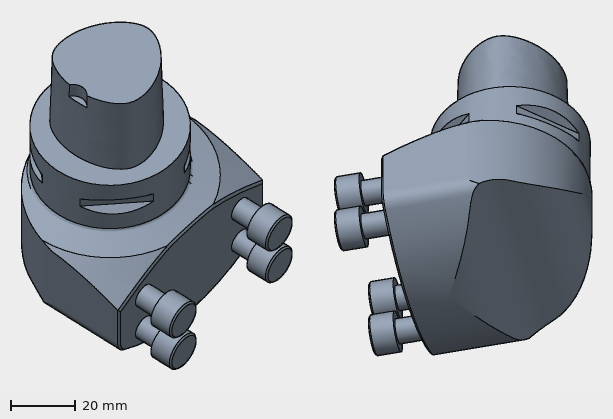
import cadquery as cq
import math


total_height = 93.25
shank_length = 29.9
shank_base_radius = 17.7
shank_top_radius = 17.0
lobe_height = 1.2
outline_points = 36
notch_radius = 4.3
notch_center_y = -18.0
notch_depth = 5.4

flange_radius = 50.0 / 2
flange_top = total_height - shank_length
flange_bottom = 43.0
groove_z = 53.15
groove_depth = 2.8
groove_floor_height = 3.4
groove_mouth_height = 6.7

body_width = 70.5
body_end_x = 33.0
plan_center_x = 10.3
plan_radius = 35.5
end_chamfer = 0.65
neck_step = 0.8
shoulder_radius = 34.3
shallow_angle = 15.0
steep_angle = 35.0
heel_radius = 17.9
s_curve_middle_x = 6.2
heel_z = 14.5
belly_radius = 60.6
belly_corner_radius = 6.0

screw_head_diameter = 13.0
screw_shank_diameter = 8.0
screw_head_start_x = 41.3
screw_end_x = 74.3 - flange_radius
screw_head_chamfer = 0.6
screw_y = 23.4
screw_heights = (12.8, 27.6)
screw_embed = 0.9


def lobed_point(mean_radius, angle):
    """Point of a constant-width three-lobed outline with one lobe on +Y."""
    reach = mean_radius - lobe_height * math.sin(3 * angle)
    slope = -3 * lobe_height * math.cos(3 * angle)
    return (
        reach * math.cos(angle) - slope * math.sin(angle),
        reach * math.sin(angle) + slope * math.cos(angle),
    )


def lobed_outline(mean_radius):
    return [lobed_point(mean_radius, 2 * math.pi * i / outline_points) for i in range(outline_points)]


def make_shank():
    shank = (
        cq.Workplane("XY", origin=(0, 0, flange_top))
        .spline(lobed_outline(shank_base_radius), periodic=True).close()
        .workplane(offset=shank_length)
        .spline(lobed_outline(shank_top_radius), periodic=True).close()
        .loft(ruled=True)
    )
    notch = (
        cq.Workplane("XY", origin=(0, notch_center_y, total_height - notch_depth))
        .circle(notch_radius)
        .extrude(notch_depth)
    )
    return shank.cut(notch)


def make_flange():
    flange = (
        cq.Workplane("XY", origin=(0, 0, flange_bottom))
        .circle(flange_radius)
        .extrude(flange_top - flange_bottom)
    )
    floor_x = flange_radius - groove_depth
    half_floor = groove_floor_height / 2
    half_mouth = groove_mouth_height / 2
    outer_x = flange_radius + groove_depth
    half_outer = 2 * half_mouth - half_floor
    groove = (
        cq.Workplane("XZ", origin=(0, 0, groove_z))
        .polyline([
            (floor_x, -half_floor),
            (outer_x, -half_outer),
            (outer_x, half_outer),
            (floor_x, half_floor),
        ])
        .close()
        .extrude(flange_radius, both=True)
    )
    for angle in (45, 135, 225, 315):
        flange = flange.cut(groove.rotate((0, 0, 0), (0, 0, 1), angle))
    return flange


def make_plan():
    """Body seen along Z: a disc trimmed flat at -X and at both sides, extended to +X."""
    disc = cq.Workplane("XY").center(plan_center_x, 0).circle(plan_radius).extrude(flange_bottom)
    block = cq.Workplane("XY").box(body_end_x - plan_center_x, body_width, flange_bottom, (False, True, False))
    trim = cq.Workplane("XY").box(flange_radius + body_end_x, body_width, flange_bottom, (False, True, False))
    return disc.union(block.translate((plan_center_x, 0, 0))).intersect(trim.translate((-flange_radius, 0, 0)))


def make_side_profile():
    """Body seen along Y: rounded heel, then an S curve of two equal arcs down to z = 0."""
    heel_center_x = -flange_radius + heel_radius
    heel_center_z = heel_z + heel_radius
    bend_z = heel_z / 2
    s_run = s_curve_middle_x - heel_center_x
    heel_mid = heel_radius * math.sqrt(0.5)
    return (
        cq.Workplane("XZ")
        .moveTo(-flange_radius, flange_bottom)
        .lineTo(-flange_radius, heel_center_z)
        .threePointArc((heel_center_x - heel_mid, heel_center_z - heel_mid), (heel_center_x, heel_z))
        .tangentArcPoint((s_curve_middle_x, bend_z), relative=False)
        .tangentArcPoint((s_curve_middle_x + s_run, 0), relative=False)
        .lineTo(body_end_x, 0)
        .lineTo(body_end_x, flange_bottom)
        .close()
        .extrude(body_width, both=True)
    )


def make_end_profile():
    """Body seen along X: straight sides and a curved belly with rounded corners."""
    half = body_width / 2
    belly_edge_z = belly_radius - math.sqrt(belly_radius**2 - half**2)
    return (
        cq.Workplane("YZ", origin=(-flange_radius, 0, 0))
        .moveTo(-half, flange_bottom)
        .lineTo(-half, belly_edge_z)
        .threePointArc((0, 0), (half, belly_edge_z))
        .lineTo(half, flange_bottom)
        .close()
        .extrude(flange_radius + body_end_x)
        .edges("|X and (not >Z)")
        .fillet(belly_corner_radius)
    )


def make_roof():
    """Turned envelope that slopes the top of the body away from the flange."""
    neck_radius = flange_radius + neck_step
    neck_z = flange_bottom - neck_step
    shoulder_z = neck_z - (shoulder_radius - neck_radius) * math.tan(math.radians(shallow_angle))
    outer_radius = shoulder_radius + shoulder_z / math.tan(math.radians(steep_angle))
    return (
        cq.Workplane("XZ")
        .moveTo(0, flange_bottom)
        .lineTo(0, 0)
        .lineTo(outer_radius, 0)
        .lineTo(shoulder_radius, shoulder_z)
        .lineTo(neck_radius, neck_z)
        .tangentArcPoint((flange_radius, flange_bottom), relative=False)
        .close()
        .revolve(360, (0, 0, 0), (0, 1, 0))
    )


def make_body():
    body = make_plan().intersect(make_side_profile()).intersect(make_end_profile())
    body = body.intersect(make_roof())
    return body.faces(">X").chamfer(end_chamfer)


def make_screw():
    """Socket-less cap screw along X, its axis on y = z = 0."""
    start_x = body_end_x - screw_embed
    shank = (
        cq.Workplane("YZ", origin=(start_x, 0, 0))
        .circle(screw_shank_diameter / 2)
        .extrude(screw_head_start_x - start_x)
    )
    head = (
        cq.Workplane("YZ", origin=(screw_head_start_x, 0, 0))
        .circle(screw_head_diameter / 2)
        .extrude(screw_end_x - screw_head_start_x)
        .faces(">X")
        .chamfer(screw_head_chamfer)
    )
    return shank.union(head)


result = make_body().union(make_flange()).union(make_shank())
screw = make_screw()
for y in (-screw_y, screw_y):
    for z in screw_heights:
        result = result.union(screw.translate((0, y, z)))